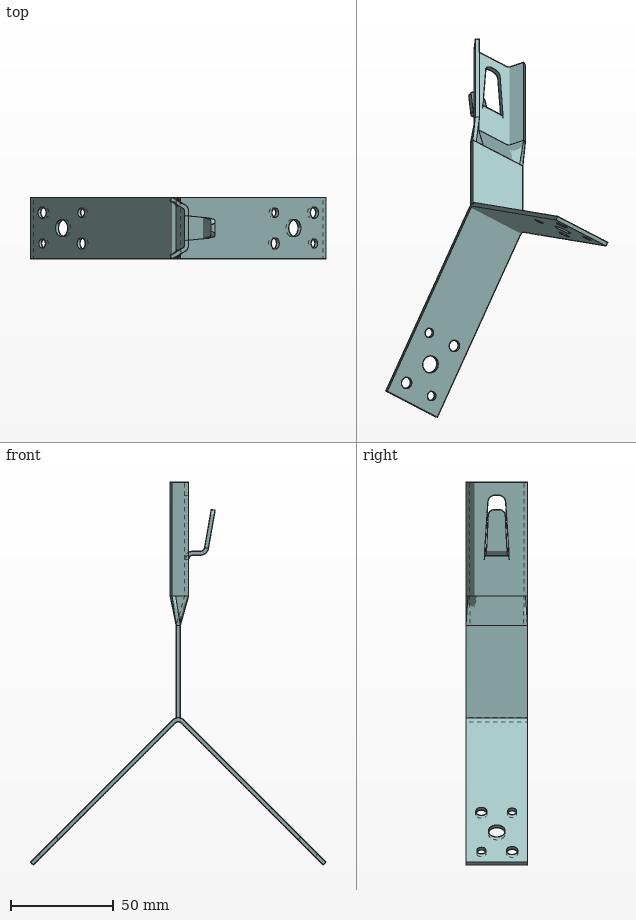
import cadquery as cq
import math

width = 30.0
sheet = 2.0
total_height = 186.65
bend_inner = 2.0
bend_outer = bend_inner + sheet

base_span = 144.13
leg_angle = math.radians(45)
small_hole = 4.5
medium_hole = 5.5
large_hole = 8.25
hole_end_distance = 21.5
hole_pitch_along = 13.5
hole_pitch_across = 7.5

channel_length = 55.4
transition_length = 14.6
end_wrap = 2.0
flange_angle = math.radians(60)
floor_half_width = 8.0
floor_outer_x = 5.1
floor_inner_x = floor_outer_x - sheet
channel_bottom_z = total_height - channel_length
strip_top_z = channel_bottom_z - transition_length

window_top_z = total_height - 6.4
window_bottom_z = total_height - 37.65
window_half_width = 6.1
window_top_half_width = 4.05
window_corner_radius = 3.5
hook_angle = math.radians(80)
hook_flat_length = 3.7
hook_tip_z = total_height - 13.3
hook_half_width = 4.95
hook_tip_half_width = 4.1
hook_tip_radius = 3.2


def extrude_across(profile):
    """Extrude a closed XZ profile across the full width, centred on Y = 0."""
    return profile.extrude(width / 2, both=True)


def tapered_tongue(base_x, base_z, base_half, top_half, height, corner_radius, depth):
    """Tapered block with rounded top corners, extruded from X = base_x towards +X."""
    plane = cq.Plane(origin=(base_x, 0, base_z), xDir=(0, 1, 0), normal=(1, 0, 0))
    outline = [(-base_half, 0), (base_half, 0), (top_half, height), (-top_half, height)]
    block = cq.Workplane(plane).polyline(outline).close().extrude(depth)
    return block.edges("|X and >Z").fillet(corner_radius)


end_x = base_span / 2
end_rise = sheet * math.cos(leg_angle)
end_inset = sheet * math.sin(leg_angle)
virtual_apex_z = end_rise + end_x * math.tan(leg_angle)
bend_centre_z = virtual_apex_z - bend_outer / math.cos(leg_angle)
base_top_z = bend_centre_z + bend_outer


def bend_side(radius):
    """Point where the base bend of this radius runs into the right leg."""
    return radius * math.sin(leg_angle), bend_centre_z + radius * math.cos(leg_angle)


def make_base():
    outer_x, outer_z = bend_side(bend_outer)
    inner_x, inner_z = bend_side(bend_inner)
    body = extrude_across(
        cq.Workplane("XZ")
        .moveTo(-end_x, end_rise)
        .lineTo(-outer_x, outer_z)
        .threePointArc((0, base_top_z), (outer_x, outer_z))
        .lineTo(end_x, end_rise)
        .lineTo(end_x - end_inset, 0)
        .lineTo(inner_x, inner_z)
        .threePointArc((0, bend_centre_z + bend_inner), (-inner_x, inner_z))
        .lineTo(-end_x + end_inset, 0)
        .close()
    )
    for side in (-1, 1):
        body = body.cut(leg_holes(side))
    return body


def leg_holes(side):
    """Cutters for the five holes of one leg; side is the sign of X."""
    leg_plane = cq.Plane(
        origin=(side * end_x, 0, end_rise),
        xDir=(-side * math.cos(leg_angle), 0, math.sin(leg_angle)),
        normal=(side * math.sin(leg_angle), 0, math.cos(leg_angle)),
    )
    near_end = hole_end_distance - hole_pitch_along
    far_end = hole_end_distance + hole_pitch_along
    holes = [
        (hole_end_distance, 0, large_hole),
        (near_end, hole_pitch_across, medium_hole),
        (far_end, -hole_pitch_across, medium_hole),
        (near_end, -hole_pitch_across, small_hole),
        (far_end, hole_pitch_across, small_hole),
    ]
    cutters = cq.Workplane(leg_plane)
    for along, y, diameter in holes:
        across = -side * y
        hole = cq.Workplane(leg_plane).center(along, across).circle(diameter / 2)
        cutters = cutters.add(hole.extrude(-sheet))
    return cutters.combine()


def make_strip():
    foot_z = bend_centre_z + math.sqrt(bend_outer**2 - (sheet / 2) ** 2)
    return extrude_across(
        cq.Workplane("XZ")
        .moveTo(-sheet / 2, strip_top_z)
        .lineTo(-sheet / 2, foot_z)
        .threePointArc((0, base_top_z), (sheet / 2, foot_z))
        .lineTo(sheet / 2, strip_top_z)
        .close()
    )


flange_length = (width / 2 - floor_half_width - bend_outer * math.sin(flange_angle)) / math.cos(flange_angle)
channel_bend_x = floor_outer_x - bend_outer


def channel_bend_point(radius, angle):
    """Point on the bend between floor and +Y flange, angle measured from the floor."""
    return channel_bend_x + radius * math.cos(angle), floor_half_width + radius * math.sin(angle)


def flange_point(radius, length):
    """Point on the +Y flange face that continues the bend of this radius, this far from the bend."""
    x, y = channel_bend_point(radius, flange_angle)
    return x - length * math.sin(flange_angle), y + length * math.cos(flange_angle)


def mirrored(point):
    return point[0], -point[1]


def channel_section(work):
    """Closed channel section, with an extra corner on each outer flange face for the transition."""
    outer_end = flange_point(bend_outer, flange_length)
    outer_wrap = flange_point(bend_outer, flange_length - end_wrap)
    outer_side = channel_bend_point(bend_outer, flange_angle)
    outer_mid = channel_bend_point(bend_outer, flange_angle / 2)
    outer_floor = channel_bend_point(bend_outer, 0)
    inner_end = flange_point(bend_inner, flange_length)
    inner_side = channel_bend_point(bend_inner, flange_angle)
    inner_mid = channel_bend_point(bend_inner, flange_angle / 2)
    inner_floor = channel_bend_point(bend_inner, 0)
    return (
        work.moveTo(*mirrored(outer_end))
        .lineTo(*mirrored(outer_wrap))
        .lineTo(*mirrored(outer_side))
        .threePointArc(mirrored(outer_mid), mirrored(outer_floor))
        .lineTo(*outer_floor)
        .threePointArc(outer_mid, outer_side)
        .lineTo(*outer_wrap)
        .lineTo(*outer_end)
        .lineTo(*inner_end)
        .lineTo(*inner_side)
        .threePointArc(inner_mid, inner_floor)
        .lineTo(*mirrored(inner_floor))
        .threePointArc(mirrored(inner_mid), mirrored(inner_side))
        .lineTo(*mirrored(inner_end))
        .close()
    )


def division_points(radius):
    """
    Y of the strip points that meet the flange end, bend end and bend start of the channel face
    with this bend radius. Their spacing follows the developed length of that face, so the bends
    fade out without creases.
    """
    bend_length = radius * flange_angle
    half_length = floor_half_width + bend_length + flange_length
    scale = width / 2 / half_length
    return [width / 2, (floor_half_width + bend_length) * scale, floor_half_width * scale]


def flat_section(work):
    """Strip section with one corner for each corner of the channel section, in the same order."""
    face_x = sheet / 2
    corner, *outer_inboard = division_points(bend_outer)
    inner_inboard = division_points(bend_inner)[1:]
    half_outline = [(face_x, y) for y in outer_inboard[::-1]]
    half_outline += [(face_x, corner), (-face_x, corner), (-face_x, corner - end_wrap)]
    half_outline += [(-face_x, y) for y in inner_inboard]
    other_half = [mirrored(point) for point in half_outline[::-1]]
    outline = half_outline + other_half
    first = outline.index((-face_x, -corner))
    return work.polyline(outline[first:] + outline[:first]).close()


def make_transition():
    """
    The edge faces twist: each flange end corner runs down to the far corner of the strip edge,
    so they start on the outer flange faces and finish on the inner face of the strip.
    """
    lower = flat_section(cq.Workplane("XY").workplane(offset=strip_top_z))
    return channel_section(lower.workplane(offset=transition_length)).loft(ruled=True)


root_x = floor_outer_x + bend_inner
hook_underside_z = window_bottom_z + bend_inner
upper_bend_x = root_x + hook_flat_length
upper_bend_z = hook_underside_z + bend_outer
arm_start_z = upper_bend_z - bend_inner * math.cos(hook_angle)


def arc_point(centre_x, centre_z, radius, angle):
    return centre_x + radius * math.cos(angle), centre_z + radius * math.sin(angle)


def hook_strip():
    """Hook bent to shape at full width, before its sides are tapered."""
    def root(radius, angle):
        return arc_point(root_x, window_bottom_z, radius, angle)

    def upper(radius, angle):
        return arc_point(upper_bend_x, upper_bend_z, radius, angle)

    straight_down = -math.pi / 2
    arm_bend_end = straight_down + hook_angle
    arm_bend_mid = straight_down + hook_angle / 2
    arm_length = (hook_tip_z - arm_start_z) / math.sin(hook_angle)
    arm_run = arm_length * math.cos(hook_angle)
    arm_rise = arm_length * math.sin(hook_angle)
    inner_x, inner_z = upper(bend_inner, arm_bend_end)
    outer_x, outer_z = upper(bend_outer, arm_bend_end)
    return extrude_across(
        cq.Workplane("XZ")
        .moveTo(*root(bend_inner, math.pi))
        .threePointArc(root(bend_inner, math.pi * 3 / 4), root(bend_inner, math.pi / 2))
        .lineTo(*upper(bend_outer, straight_down))
        .threePointArc(upper(bend_outer, arm_bend_mid), (outer_x, outer_z))
        .lineTo(outer_x + arm_run, outer_z + arm_rise)
        .lineTo(inner_x + arm_run, inner_z + arm_rise)
        .lineTo(inner_x, inner_z)
        .threePointArc(upper(bend_inner, arm_bend_mid), upper(bend_inner, straight_down))
        .lineTo(*root(bend_outer, math.pi / 2))
        .threePointArc(root(bend_outer, math.pi * 3 / 4), root(bend_outer, math.pi))
        .close()
    )


def make_hook():
    """Bent strip tapered in plan along its foot and in elevation along its upright arm."""
    bend_end_x = upper_bend_x + bend_outer
    hook_reach_x = bend_end_x + (hook_tip_z - arm_start_z)
    plan_half = [
        (floor_inner_x, window_half_width),
        (bend_end_x, hook_half_width),
        (hook_reach_x, hook_half_width),
    ]
    plan = (
        cq.Workplane("XY")
        .workplane(offset=window_bottom_z)
        .polyline(plan_half + [mirrored(point) for point in plan_half[::-1]])
        .close()
        .extrude(hook_tip_z - window_bottom_z)
    )
    arm = tapered_tongue(
        floor_inner_x, arm_start_z, hook_half_width, hook_tip_half_width,
        hook_tip_z - arm_start_z, hook_tip_radius, hook_reach_x,
    )
    foot_height = arm_start_z - window_bottom_z
    foot = cq.Workplane("XY").box(
        hook_reach_x, width, foot_height, centered=(False, True, False)
    ).translate((0, 0, window_bottom_z))
    elevation = foot.union(arm)
    return hook_strip().intersect(plan).intersect(elevation)


def make_channel():
    body = channel_section(cq.Workplane("XY").workplane(offset=channel_bottom_z)).extrude(channel_length)
    window = tapered_tongue(
        floor_inner_x, window_bottom_z, window_half_width, window_top_half_width,
        window_top_z - window_bottom_z, window_corner_radius, sheet,
    )
    return body.cut(window).union(make_hook())


base = make_base()
strip = make_strip()
transition = make_transition()
channel = make_channel()

result = cq.Compound.makeCompound([base.val(), strip.val(), transition.val(), channel.val()])